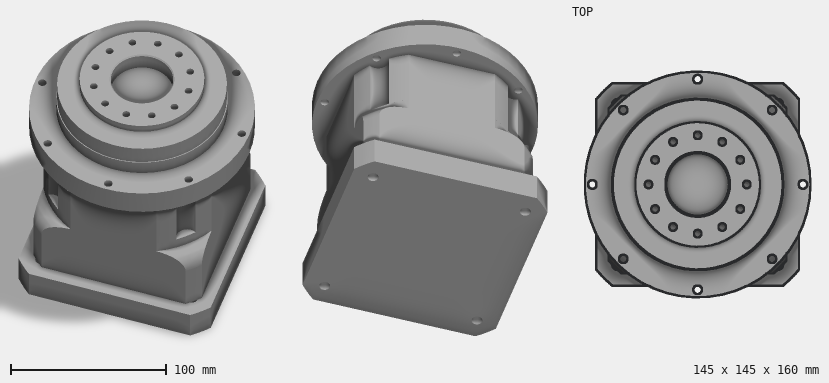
import cadquery as cq
import math

plate_top = 20.0
corner_round_start = 52.3
corner_round_top = 64.3
housing_top = 72.2
flange_bottom = 113.5
flange_top = 131.4
pilot_top = 141.5
collar_top = 154.4
overall_height = 160.0

corner_count = 4
first_corner_angle = 45

plate_side = 130.0
plate_corner_diameter = 170.0
plate_bolt_circle = 145.0
plate_bolt_hole = 7.0

body_side = 114.0
housing_corner_diameter = 150.0
access_hole_diameter = 12.8
access_hole_y = -18.0
access_hole_z = 34.4

gear_diameter = 128.0
input_shaft_diameter = 49.0
groove_diameter = 14.0
groove_circle = 130.5
flange_diameter = 145.0
pilot_diameter = 110.0
collar_diameter = 109.0
hub_diameter = 80.0
flange_bolt_circle = 135.0
flange_bolt_hole = 5.5
flange_bolt_count = 8

hub_bore = 40.0
hub_bore_depth = 11.8
hub_bore_chamfer = 0.8
screw_circle = 63.0
screw_hole = 5.0
screw_hole_depth = 16.0
screw_tip_angle = 118
screw_count = 12


def cylinder(diameter, bottom, top):
    """Upright cylinder on the main axis."""
    return cq.Workplane("XY").workplane(offset=bottom).circle(diameter / 2).extrude(top - bottom)


def square_prism(side, bottom, top):
    """Upright square block on the main axis."""
    return cq.Workplane("XY").workplane(offset=bottom).rect(side, side).extrude(top - bottom)


def cylinder_ring(diameter, circle, count, start_angle, bottom, top):
    """Equally spaced upright cylinders on a pitch circle."""
    return (
        cq.Workplane("XY")
        .workplane(offset=bottom)
        .polarArray(circle / 2, start_angle, 360, count)
        .circle(diameter / 2)
        .extrude(top - bottom)
    )


def make_motor_plate():
    """Square plate with corners turned to a circle and four diagonal bolt holes."""
    plate = square_prism(plate_side, 0, plate_top)
    plate = plate.intersect(cylinder(plate_corner_diameter, 0, plate_top))
    bolt_holes = cylinder_ring(
        plate_bolt_hole, plate_bolt_circle, corner_count, first_corner_angle, 0, plate_top
    )
    return plate.cut(bolt_holes)


def make_input_housing():
    """Round-shouldered turned shape, squared on four sides, with a shaft bore and an access hole."""
    corner_radius = housing_corner_diameter / 2
    neck_radius = gear_diameter / 2

    rise = corner_round_top - corner_round_start
    step = corner_radius - neck_radius
    arc_radius = (rise**2 + step**2) / (2 * step)
    half_sweep = math.atan2(step, rise)
    arc_middle = (
        corner_radius - arc_radius * (1 - math.cos(half_sweep)),
        corner_round_start + arc_radius * math.sin(half_sweep),
    )

    turned = (
        cq.Workplane("XZ")
        .moveTo(0, plate_top)
        .lineTo(corner_radius, plate_top)
        .lineTo(corner_radius, corner_round_start)
        .threePointArc(arc_middle, (neck_radius, corner_round_top))
        .lineTo(neck_radius, housing_top)
        .lineTo(0, housing_top)
        .close()
        .revolve(360, (0, 0, 0), (0, 1, 0))
    )
    housing = turned.intersect(square_prism(body_side, plate_top, housing_top))
    housing = housing.cut(cylinder(input_shaft_diameter, plate_top, housing_top))

    access_hole = (
        cq.Workplane("YZ")
        .workplane(offset=-body_side / 2)
        .center(access_hole_y, access_hole_z)
        .circle(access_hole_diameter / 2)
        .extrude(body_side / 2)
    )
    return housing.cut(access_hole)


def make_gear_housing():
    """Squared gear case with corner grooves, a round bolting flange, the input shaft and the output hub."""
    case = cylinder(gear_diameter, housing_top, flange_bottom)
    case = case.intersect(square_prism(body_side, housing_top, flange_bottom))
    grooves = cylinder_ring(
        groove_diameter, groove_circle, corner_count, first_corner_angle, housing_top, flange_bottom
    )
    case = case.cut(grooves)

    case = case.union(cylinder(flange_diameter, flange_bottom, flange_top))
    case = case.union(cylinder(pilot_diameter, flange_top, pilot_top))
    case = case.union(cylinder(collar_diameter, pilot_top, collar_top))
    case = case.union(cylinder(input_shaft_diameter, plate_top, housing_top))
    case = case.union(cylinder(hub_diameter, collar_top, overall_height))
    flange_holes = cylinder_ring(
        flange_bolt_hole, flange_bolt_circle, flange_bolt_count, 0, flange_bottom, flange_top
    )
    return cut_hub_face(case.cut(flange_holes))


def cut_hub_face(case):
    """Blind chamfered bore and a ring of drilled screw holes in the hub's end face."""
    bore = cylinder(hub_bore, overall_height - hub_bore_depth, overall_height)
    bore_mouth = (
        cq.Workplane("XY")
        .workplane(offset=overall_height)
        .circle(hub_bore / 2 + hub_bore_chamfer)
        .extrude(-hub_bore_chamfer, taper=45)
    )
    case = case.cut(bore).cut(bore_mouth)

    screw_radius = screw_hole / 2
    tip_depth = screw_radius / math.tan(math.radians(screw_tip_angle / 2))
    drill = (
        cq.Workplane("XZ")
        .moveTo(0, -screw_hole_depth - tip_depth)
        .lineTo(screw_radius, -screw_hole_depth)
        .lineTo(screw_radius, 0)
        .lineTo(0, 0)
        .close()
        .revolve(360, (0, 0, 0), (0, 1, 0))
        .translate((screw_circle / 2, 0, overall_height))
    )
    for index in range(screw_count):
        case = case.cut(drill.rotate((0, 0, 0), (0, 0, 1), index * 360 / screw_count))
    return case


motor_plate = make_motor_plate()
input_housing = make_input_housing()
gear_housing = make_gear_housing()

result = cq.Compound.makeCompound([motor_plate.val(), input_housing.val(), gear_housing.val()])